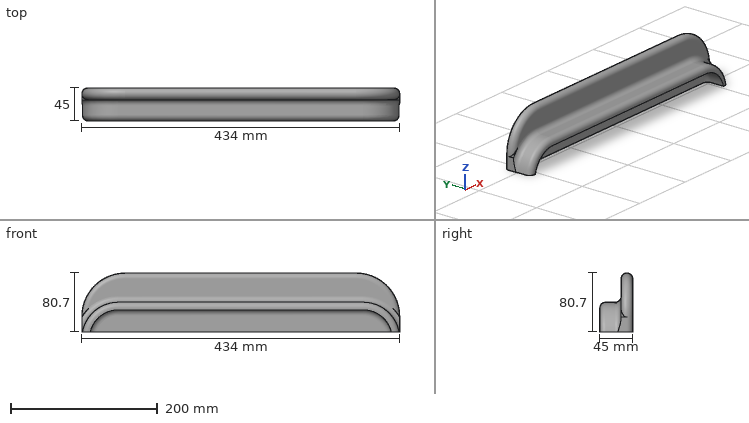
import cadquery as cq

length = 434.0
depth = 45.0
height = 80.7

plate_thickness = 16.0
plate_corner_radius = 59.5

shelf_height = 41.0
shelf_thickness = 10.5
shelf_bend_radius = 50.0

edge_radius = plate_thickness / 2

back_y = depth / 2
front_y = -depth / 2
plate_front_y = back_y - plate_thickness
plate_middle_y = back_y - edge_radius
plate_bend_z = height - plate_corner_radius
shelf_bend_z = shelf_height - shelf_bend_radius


def arch(section, bend_radius, bend_z):
    """Straight run of a section along X with a quarter-turn bend at each end.

    The section is a function that draws the closed YZ profile at a given X.
    """
    straight_half = length / 2 - bend_radius
    body = section(-straight_half).extrude(2 * straight_half)
    for side in (-1, 1):
        profile = section(side * straight_half)
        bend = profile.revolve(90, (0, bend_z), (side, bend_z))
        body = body.union(bend)
    return body


def plate_section(x):
    """Upper part of the plate in cross-section, with its round rim."""
    rim_z = height - edge_radius
    return (
        cq.Workplane("YZ", origin=(x, 0, 0))
        .moveTo(plate_front_y, plate_bend_z)
        .lineTo(plate_front_y, rim_z)
        .threePointArc((plate_middle_y, height), (back_y, rim_z))
        .lineTo(back_y, plate_bend_z)
        .close()
    )


def back_plate():
    """Round-cornered upper part standing on a lower part with round ends."""
    upper = arch(plate_section, plate_corner_radius, plate_bend_z)
    lower = (
        cq.Workplane("XY", origin=(0, plate_middle_y, 0))
        .slot2D(length, plate_thickness)
        .extrude(plate_bend_z)
    )
    return upper.union(lower)


def shelf_section(x):
    """Shelf in cross-section, with a foot flaring into the plate."""
    top = shelf_height
    bottom = top - shelf_thickness
    blend_y = plate_front_y - edge_radius
    return (
        cq.Workplane("YZ", origin=(x, 0, 0))
        .moveTo(plate_middle_y, bottom - edge_radius)
        .lineTo(plate_middle_y, top + edge_radius)
        .lineTo(plate_front_y, top + edge_radius)
        .radiusArc((blend_y, top), edge_radius)
        .lineTo(front_y + edge_radius, top)
        .radiusArc((front_y, top - edge_radius), -edge_radius)
        .lineTo(front_y, bottom)
        .lineTo(blend_y, bottom)
        .radiusArc((plate_front_y, bottom - edge_radius), edge_radius)
        .close()
    )


def outline_block():
    """Arched outline of the whole part, extruded through its full depth."""
    return (
        cq.Workplane("XZ", origin=(0, back_y, 0))
        .moveTo(-length / 2, 0)
        .lineTo(-length / 2, plate_bend_z)
        .radiusArc((-length / 2 + plate_corner_radius, height), plate_corner_radius)
        .lineTo(length / 2 - plate_corner_radius, height)
        .radiusArc((length / 2, plate_bend_z), plate_corner_radius)
        .lineTo(length / 2, 0)
        .close()
        .extrude(depth)
    )


shelf = arch(shelf_section, shelf_bend_radius, shelf_bend_z).intersect(outline_block())

result = back_plate().union(shelf)